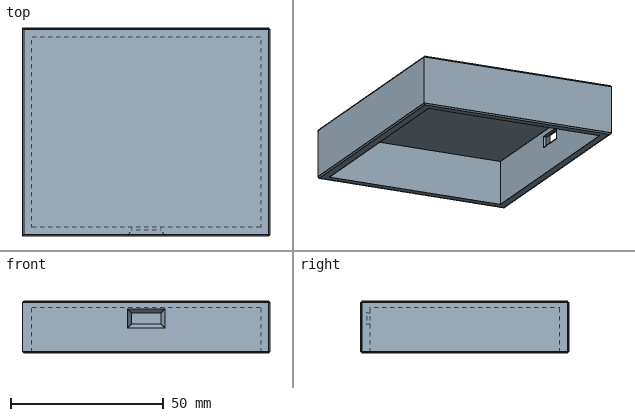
import cadquery as cq

length = 81.0
width = 68.0
height = 16.9
edge_chamfer = 0.5

wall = 3.0
roof = 2.0

port_length = 12.3
port_height = 6.3
port_top_gap = 2.5
port_taper = 1.3
lip_thickness = 1.0
port_depth = wall - lip_thickness
port_center_z = height - port_top_gap - port_height / 2
throat_length = port_length - 2 * port_taper
throat_height = port_height - 2 * port_taper


def make_body():
    """Block with chamfered top, bottom and +X upright edges."""
    block = cq.Workplane("XY").box(length, width, height, centered=(True, True, False))
    return block.edges("|X or |Y or (|Z and >X)").chamfer(edge_chamfer)


def make_cavity():
    """Hollow inside, open at the bottom."""
    return cq.Workplane("XY").box(
        length - 2 * wall, width - 2 * wall, height - roof, centered=(True, True, False)
    )


def make_port():
    """Tapered recess in the front wall plus its straight throat."""
    front_face = cq.Workplane("XZ", origin=(0, -width / 2, port_center_z))
    recess = (
        front_face.rect(port_length, port_height)
        .workplane(offset=-port_depth)
        .rect(throat_length, throat_height)
        .loft(ruled=True)
    )
    throat = front_face.rect(throat_length, throat_height).extrude(-wall)
    return recess.union(throat)


result = make_body().cut(make_cavity()).cut(make_port())